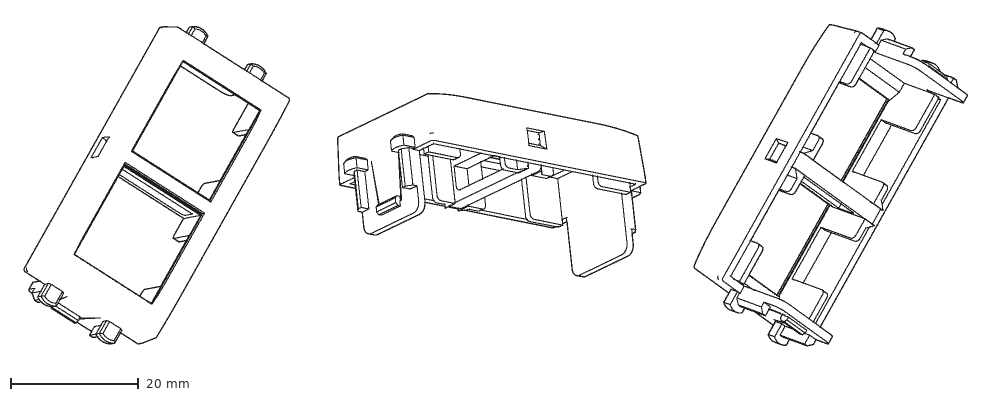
import cadquery as cq
import math


TILT_ABOUT_Y = 33.0
TILT_ABOUT_X = 20.0

BASE_HALF_WIDTH = 11.15
BASE_HALF_LENGTH = 22.45
TOP_HALF_WIDTH = 10.9
TOP_HALF_LENGTH = 22.05
RIM_HEIGHT = 1.2
TOP_HEIGHT = 8.7
END_HEIGHT = 8.0
ARCH_START = 14.0
CORNER_RADIUS = 0.4
WALL = 1.2
END_WALL = 1.3
CAVITY_HALF_WIDTH = BASE_HALF_WIDTH - WALL
CAVITY_HALF_LENGTH = BASE_HALF_LENGTH - END_WALL
FACE_THICKNESS = 0.6
CEILING = TOP_HEIGHT - FACE_THICKNESS

END_CEILING = 6.85
SLOPE_START = 19.5
SLOPE_END = 17.45

WINDOW_HALF_WIDTH = 7.4
DIVIDER_HALF_WIDTH = 1.2
WINDOW_END = 17.75
WINDOW_LENGTH = WINDOW_END - DIVIDER_HALF_WIDTH
WINDOW_CENTRE = (WINDOW_END + DIVIDER_HALF_WIDTH) / 2
WINDOW_CHAMFER = 0.2

SLOT_HALF_LENGTH = 1.85
SLOT_BOTTOM = 2.35
SLOT_TOP = 5.35
SLOT_DEPTH = 1.0
SLOT_SIDE_TAPER = 0.4
SLOT_FLOOR_RISE = 0.9

LEG_HALF_WIDTH = 6.55
LEG_DEPTH = 10.15
LEG_CORNER_RADIUS = 1.5
PANEL_TOP_HALF_WIDTH = 3.2
PANEL_BOTTOM_HALF_WIDTH = 2.55
PANEL_BOTTOM = -7.1
PANEL_DEPTH = 0.15

CATCH_HALF_WIDTH = 2.3
CATCH_TOP = -6.4
CATCH_BOTTOM = -8.0
CATCH_REACH = 0.9
CATCH_CHAMFER = 0.4

HOOK_INNER = 4.1
HOOK_OUTER = 7.05
HOOK_BOTTOM = 0.15
HOOK_TOP = 2.25
HOOK_REACH = 2.8
HOOK_SIDE_REACH = 2.35
HOOK_CHAMFER = 0.4
ROOT_OVERLAP = 0.5
RIB_INNER = 4.9
RIB_TIP = 5.55
RIB_BOTTOM = -6.1
RIB_REACH = 1.6
RIB_SHOULDER = 0.85

RAIL_BOTTOM = 7.4
TONGUE_INNER = 7.55
TONGUE_OUTER = 8.6
TONGUE_BOTTOM = -0.9
TONGUE_CORNER_RADIUS = 0.75
CENTRE_TONGUE_END = 5.05
END_TONGUE_START = 14.4
RING_HALF_THICKNESS = 1.35
RING_BOTTOM = -0.75
RING_CORNER_RADIUS = 0.8
RING_OPENING_HALF_WIDTH = 6.9
RING_OPENING_BOTTOM = 0.9
RING_OPENING_TOP = 5.1
GUSSET_WIDTH = 2.55


def block(x0, x1, y0, y1, z0, z1):
    return cq.Workplane("XY").box(x1 - x0, y1 - y0, z1 - z0, centered=False).translate((x0, y0, z0))


def both_ends(shape):
    """A feature at the +Y end together with its mirror image at the -Y end."""
    return shape.union(shape.mirror("XZ"))


def both_sides(shape):
    """A feature at the +X side together with its mirror image at the -X side."""
    return shape.union(shape.mirror("YZ"))


def arch_middle_height():
    """Height of the curved end halfway between its start and the end wall."""
    drop = TOP_HEIGHT - END_HEIGHT
    run = TOP_HALF_LENGTH - ARCH_START
    radius = (run**2 + drop**2) / (2 * drop)
    return TOP_HEIGHT - radius + math.sqrt(radius**2 - (run / 2) ** 2)


def cover_outside():
    """Straight rim below a drafted block with an arched top, both with rounded outer edges."""
    rim = block(
        -BASE_HALF_WIDTH, BASE_HALF_WIDTH, -BASE_HALF_LENGTH, BASE_HALF_LENGTH, 0, RIM_HEIGHT
    )
    arch_middle = ((ARCH_START + TOP_HALF_LENGTH) / 2, arch_middle_height())
    side_outline = (
        cq.Workplane("YZ")
        .moveTo(0, RIM_HEIGHT)
        .lineTo(BASE_HALF_LENGTH, RIM_HEIGHT)
        .lineTo(TOP_HALF_LENGTH, END_HEIGHT)
        .threePointArc(arch_middle, (ARCH_START, TOP_HEIGHT))
        .lineTo(0, TOP_HEIGHT)
        .mirrorY()
        .extrude(BASE_HALF_WIDTH, both=True)
    )
    end_outline = (
        cq.Workplane("XZ")
        .moveTo(0, RIM_HEIGHT)
        .lineTo(BASE_HALF_WIDTH, RIM_HEIGHT)
        .lineTo(TOP_HALF_WIDTH, TOP_HEIGHT)
        .lineTo(0, TOP_HEIGHT)
        .mirrorY()
        .extrude(BASE_HALF_LENGTH, both=True)
    )
    upper = side_outline.intersect(end_outline).val().Solids()[0]
    outer_edges = [edge for edge in upper.Edges() if is_outer_edge(edge)]
    rounded_upper = cq.Workplane(upper.fillet(CORNER_RADIUS, outer_edges))
    return rounded_upper.union(rim.edges("|Z").fillet(CORNER_RADIUS))


def is_outer_edge(edge):
    """True for the upright corners and the outline of the top, not for the base or arch seams."""
    runs_across = edge.BoundingBox().xlen > BASE_HALF_WIDTH
    is_arch_seam = runs_across and abs(edge.Center().y) < ARCH_START + 0.5
    return edge.Center().z > RIM_HEIGHT + 0.5 and not is_arch_seam


def cavity():
    """Space inside the cover, lower at the two ends where it slopes up to the windows."""
    lower = block(
        -CAVITY_HALF_WIDTH, CAVITY_HALF_WIDTH, -CAVITY_HALF_LENGTH, CAVITY_HALF_LENGTH, 0, END_CEILING
    )
    sloped = (
        cq.Workplane("YZ")
        .moveTo(0, END_CEILING)
        .lineTo(SLOPE_START, END_CEILING)
        .lineTo(SLOPE_END, CEILING)
        .lineTo(0, CEILING)
        .mirrorY()
        .extrude(TONGUE_INNER, both=True)
    )
    over_rails = block(
        -CAVITY_HALF_WIDTH, CAVITY_HALF_WIDTH, -SLOPE_START, SLOPE_START, END_CEILING, CEILING
    ).cut(block(-TONGUE_INNER, TONGUE_INNER, -SLOPE_START, SLOPE_START, END_CEILING, CEILING))
    return lower.union(sloped).union(over_rails)


def windows():
    """Both window openings, widened by a chamfer at the outer face."""
    opening = block(
        -WINDOW_HALF_WIDTH, WINDOW_HALF_WIDTH, DIVIDER_HALF_WIDTH, WINDOW_END, END_CEILING - 0.5, TOP_HEIGHT
    )
    flare = (
        cq.Workplane("XY", origin=(0, WINDOW_CENTRE, TOP_HEIGHT - WINDOW_CHAMFER))
        .rect(2 * WINDOW_HALF_WIDTH, WINDOW_LENGTH)
        .workplane(offset=WINDOW_CHAMFER)
        .rect(2 * (WINDOW_HALF_WIDTH + WINDOW_CHAMFER), WINDOW_LENGTH + 2 * WINDOW_CHAMFER)
        .loft(ruled=True)
    )
    return both_ends(opening.union(flare))


def pry_slots():
    """Recesses in the long walls, with tapered ends and a sloped lower side."""
    floor = BASE_HALF_WIDTH - SLOT_DEPTH
    floor_half_length = SLOT_HALF_LENGTH - SLOT_SIDE_TAPER
    plan = (
        cq.Workplane("XY", origin=(0, 0, SLOT_BOTTOM))
        .polyline(
            [
                (BASE_HALF_WIDTH, -SLOT_HALF_LENGTH),
                (BASE_HALF_WIDTH, SLOT_HALF_LENGTH),
                (floor, floor_half_length),
                (floor, -floor_half_length),
            ]
        )
        .close()
        .extrude(SLOT_TOP - SLOT_BOTTOM)
    )
    profile = (
        cq.Workplane("XZ")
        .polyline(
            [
                (BASE_HALF_WIDTH, SLOT_BOTTOM),
                (BASE_HALF_WIDTH, SLOT_TOP),
                (floor, SLOT_TOP),
                (floor, SLOT_BOTTOM + SLOT_FLOOR_RISE),
            ]
        )
        .close()
        .extrude(SLOT_HALF_LENGTH, both=True)
    )
    return both_sides(plan.intersect(profile))


def leg():
    """Flat leg hanging from the end wall, with a catch across its outer face."""
    plate = (
        block(-LEG_HALF_WIDTH, LEG_HALF_WIDTH, CAVITY_HALF_LENGTH, BASE_HALF_LENGTH, -LEG_DEPTH, 0)
        .edges("|Y and <Z")
        .fillet(LEG_CORNER_RADIUS)
    )
    return plate.union(catch())


def leg_panel():
    """Wedge-shaped shallow cut that deepens from the rim line down to the catch."""
    outline = (
        cq.Workplane("XZ")
        .polyline(
            [
                (-PANEL_TOP_HALF_WIDTH, RIM_HEIGHT),
                (PANEL_TOP_HALF_WIDTH, RIM_HEIGHT),
                (PANEL_BOTTOM_HALF_WIDTH, PANEL_BOTTOM),
                (-PANEL_BOTTOM_HALF_WIDTH, PANEL_BOTTOM),
            ]
        )
        .close()
        .extrude(-2 * BASE_HALF_LENGTH)
    )
    wedge = (
        cq.Workplane("YZ")
        .polyline(
            [
                (BASE_HALF_LENGTH, RIM_HEIGHT),
                (BASE_HALF_LENGTH, PANEL_BOTTOM),
                (BASE_HALF_LENGTH - PANEL_DEPTH, PANEL_BOTTOM),
            ]
        )
        .close()
        .extrude(PANEL_TOP_HALF_WIDTH, both=True)
    )
    return wedge.intersect(outline)


def catch():
    """Bar across the leg with chamfered outer edges."""
    return (
        block(
            -CATCH_HALF_WIDTH,
            CATCH_HALF_WIDTH,
            BASE_HALF_LENGTH - PANEL_DEPTH,
            BASE_HALF_LENGTH + CATCH_REACH,
            CATCH_BOTTOM,
            CATCH_TOP,
        )
        .edges("|X and >Y")
        .chamfer(CATCH_CHAMFER)
    )


def hook():
    """Block outside the end wall with a rounded outer face."""
    root = BASE_HALF_LENGTH - ROOT_OVERLAP
    side = BASE_HALF_LENGTH + HOOK_SIDE_REACH
    tip = ((HOOK_INNER + HOOK_OUTER) / 2, BASE_HALF_LENGTH + HOOK_REACH)
    return (
        cq.Workplane("XY", origin=(0, 0, HOOK_BOTTOM))
        .moveTo(HOOK_INNER, root)
        .lineTo(HOOK_OUTER, root)
        .lineTo(HOOK_OUTER, side)
        .threePointArc(tip, (HOOK_INNER, side))
        .close()
        .extrude(HOOK_TOP - HOOK_BOTTOM)
        .edges(">Z and (not <Y)")
        .chamfer(HOOK_CHAMFER)
    )


def rib():
    """Stiffener below a hook, flush with the leg's side and sloping to a narrow crest."""
    root = BASE_HALF_LENGTH - ROOT_OVERLAP
    return (
        cq.Workplane("XY", origin=(0, 0, RIB_BOTTOM))
        .polyline(
            [
                (RIB_INNER, root),
                (LEG_HALF_WIDTH, root),
                (LEG_HALF_WIDTH, BASE_HALF_LENGTH + RIB_SHOULDER),
                (RIB_TIP, BASE_HALF_LENGTH + RIB_REACH),
                (RIB_INNER, BASE_HALF_LENGTH + RIB_REACH),
            ]
        )
        .close()
        .extrude(HOOK_BOTTOM - RIB_BOTTOM)
    )


def make_cover():
    end_details = leg().union(both_sides(hook().union(rib())))
    return (
        cover_outside()
        .cut(cavity())
        .cut(windows())
        .cut(pry_slots())
        .union(both_ends(end_details))
        .cut(both_ends(leg_panel().cut(catch())))
    )


def rail():
    """Strip under the cover's face beside the windows."""
    return block(TONGUE_INNER, CAVITY_HALF_WIDTH, -SLOPE_START, SLOPE_START, RAIL_BOTTOM, CEILING)


def tongue(start, end, top, rounded):
    """Guide plate hanging from a rail; `rounded` selects its lower corners to round."""
    plate = block(TONGUE_INNER, TONGUE_OUTER, start, end, TONGUE_BOTTOM, top)
    return plate.edges("|X and <Z").edges(rounded).fillet(TONGUE_CORNER_RADIUS)


def gusset():
    """Corner filler between a centre tongue and the divider ring."""
    return (
        cq.Workplane("XY", origin=(0, 0, TONGUE_BOTTOM))
        .polyline(
            [
                (TONGUE_INNER, 0),
                (TONGUE_INNER, GUSSET_WIDTH),
                (TONGUE_OUTER, GUSSET_WIDTH),
                (CAVITY_HALF_WIDTH, RING_HALF_THICKNESS),
                (CAVITY_HALF_WIDTH, 0),
            ]
        )
        .close()
        .extrude(CEILING - TONGUE_BOTTOM)
    )


def divider_ring():
    """Wall between the windows with a rounded opening and rounded lower corners."""
    wall = (
        block(
            -CAVITY_HALF_WIDTH,
            CAVITY_HALF_WIDTH,
            -RING_HALF_THICKNESS,
            RING_HALF_THICKNESS,
            RING_BOTTOM,
            RAIL_BOTTOM,
        )
        .edges("|Y and <Z")
        .fillet(RING_CORNER_RADIUS)
    )
    opening = (
        block(
            -RING_OPENING_HALF_WIDTH,
            RING_OPENING_HALF_WIDTH,
            -RING_HALF_THICKNESS,
            RING_HALF_THICKNESS,
            RING_OPENING_BOTTOM,
            RING_OPENING_TOP,
        )
        .edges("|Y and <Z")
        .fillet(RING_CORNER_RADIUS)
    )
    top_strip = block(
        -CAVITY_HALF_WIDTH, CAVITY_HALF_WIDTH, -DIVIDER_HALF_WIDTH, DIVIDER_HALF_WIDTH, RAIL_BOTTOM, CEILING
    )
    return wall.cut(opening).union(top_strip)


def make_frame():
    end_tongue = tongue(END_TONGUE_START, CAVITY_HALF_LENGTH, END_CEILING, "<Y").union(
        block(TONGUE_INNER, TONGUE_OUTER, END_TONGUE_START, SLOPE_START, END_CEILING, CEILING)
    )
    centre_tongue = tongue(0, CENTRE_TONGUE_END, CEILING, ">Y")
    quarter = end_tongue.union(centre_tongue).union(gusset())
    side = both_ends(quarter).union(rail())
    ring_space = block(
        0, CAVITY_HALF_WIDTH, -RING_HALF_THICKNESS, RING_HALF_THICKNESS, TONGUE_BOTTOM, RAIL_BOTTOM
    )
    return both_sides(side.cut(ring_space)).union(divider_ring())


def place(body):
    """Tilt an upright body into its final position."""
    return body.rotate((0, 0, 0), (0, 1, 0), TILT_ABOUT_Y).rotate((0, 0, 0), (1, 0, 0), TILT_ABOUT_X)


cover = place(make_cover())
frame = place(make_frame())

result = cq.Compound.makeCompound([*cover.solids().vals(), *frame.solids().vals()])